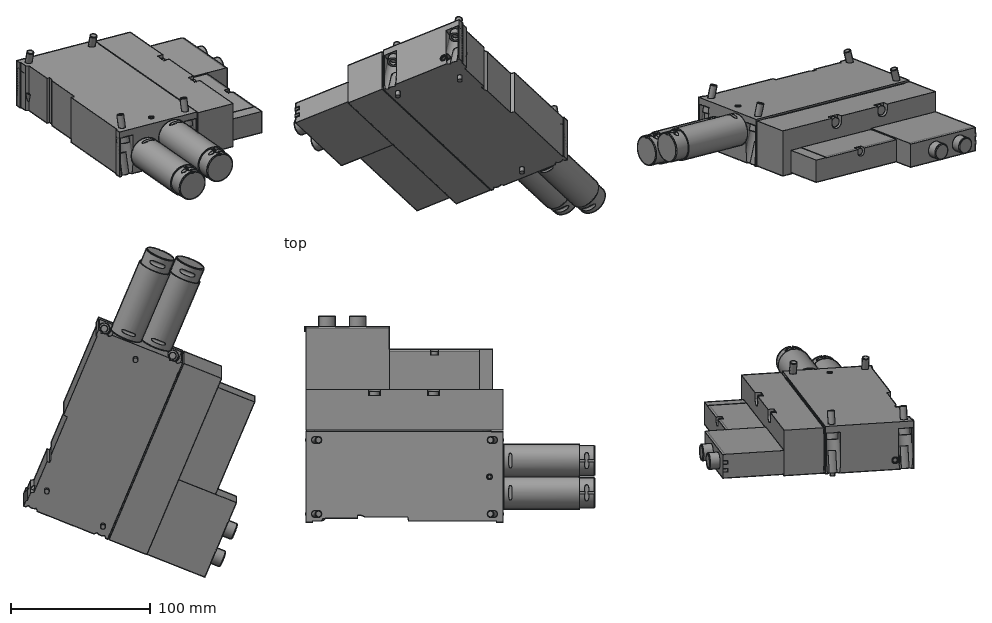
import cadquery as cq
import math

BASE_LENGTH = 141.2
BASE_DEPTH = 65.0
BASE_HEIGHT = 35.5
EDGE_STEP = 0.8
RIB_WIDTH = 4.8
FRONT_RECESS = 3.0
NOTCH_RECESS = 5.0
CENTRE_RECESS = 3.7

RAMP_START_X = 11.0
RAMP_END_X = 12.2
NOTCH_X = 37.0
NOTCH_END_X = 39.6
CENTRE_X = 42.5
CENTRE_END_X = 72.9
RIGHT_X = 73.5

SCREW_TILT = 15.0
SCREW_SPACING = 53.0
SCREW_ROW_Y = 6.0
SCREW_TOP_X = 6.6
SCREW_SHANK_DIAMETER = 5.0
SCREW_HEAD_DIAMETER = 8.0
SCREW_HEAD_HEIGHT = 4.8
SCREW_PROJECTION = 9.3
SCREW_SOCKET_DIAMETER = 5.0
SCREW_SOCKET_DEPTH = 2.5
SCREW_TIP_CHAMFER = 0.5
POCKET_DIAMETER = 10.4
POCKET_TOP_GAP = 6.6
RIDGE_DIAMETER = 10.4
RIDGE_OFFSET = 8.7
RIDGE_HEIGHT = 16.6

PEG_DIAMETER = 3.5
PEG_HEIGHT = 4.0
PEG_POINTS = [(8.3, 58.0), (17.2, 10.8), (131.5, 32.5)]
TOP_HOLE_DIAMETER = 2.5
TOP_HOLE_DEPTH = 2.5
TOP_RIM_DIAMETER = 4.2
HOLE_RIM_DEPTH = 0.5
SIDE_HOLE_Y = 13.7
SIDE_HOLE_Z = 6.9
SIDE_HOLE_DIAMETER = 3.3
SIDE_RIM_DIAMETER = 5.0
SIDE_HOLE_LIP = 1.0
SIDE_BORE_DIAMETER = 8.5
SIDE_BORE_DEPTH = 6.2

VALVE_GAP = 1.0
VALVE_DEPTH = 29.3
VALVE_BOTTOM = 0.6
VALVE_TOP = 34.7
PAD_START = 0.5
PAD_END = 132.6
PAD_BOTTOM = 1.2
PAD_TOP = 34.3
PAD_CORNER_RADIUS = 5.8
VALVE_CAP_XS = (49.0, 91.3)
VALVE_CAP_SLOT = 8.5
VALVE_CAP_DIAMETER = 7.0
VALVE_CAP_RECESS = 4.4

BOX_BOTTOM = 1.7
SOLENOID_LENGTH = 59.8
SOLENOID_DEPTH = 44.8
SOLENOID_TOP = 19.5
BUTTON_DIAMETER = 12.0
BUTTON_LENGTH = 7.7
BUTTON_CHAMFER = 0.6
BUTTON_XS = (15.2, 37.2)
TAB_PROJECTION = 0.8
TAB_DEPTH = 3.5
TAB_HEIGHT = 2.5
TAB_ZS = (7.7, 13.5)
PILOT_LENGTH = 74.0
PILOT_END_LENGTH = 9.3
PILOT_DEPTH = 28.6
PILOT_TOP = 18.7
PILOT_END_DROP = 0.2
PILOT_CAP_X = 92.2
PILOT_CAP_SLOT = 5.8
PILOT_CAP_DIAMETER = 5.0
PILOT_CAP_RECESS = 4.2
LEDGE_DEPTH = 1.5
LEDGE_DROP = 0.5
CAP_END_GAP = 1.7

CONNECTOR_DIAMETER = 23.7
CONNECTOR_LENGTH = 54.5
TIP_DIAMETER = 21.8
TIP_LENGTH = 11.0
END_CHAMFER = 0.6
CONNECTOR_AXES = [(21.2, 14.3), (44.2, 22.8)]
GROOVE_X = 5.2
GROOVE_DIAMETER = 2.5
TIP_GROOVE_X = 59.8
TIP_GROOVE_DIAMETER = 3.3
KEY_WIDTH = 1.7
KEY_DEPTH = 1.2

valve_front = BASE_DEPTH + VALVE_GAP
valve_rear = valve_front + VALVE_DEPTH
screw_rows = [SCREW_ROW_Y, SCREW_ROW_Y + SCREW_SPACING]
tilt = math.radians(SCREW_TILT)
below_base = 1.5 * BASE_HEIGHT


def box(x0, x1, y0, y1, z0, z1):
    return cq.Workplane("XY").box(x1 - x0, y1 - y0, z1 - z0, centered=False).translate((x0, y0, z0))


def cylinder_y(x, z, diameter, y0, y1):
    """Cylinder along Y between two Y positions."""
    return cq.Workplane("XZ", origin=(x, y0, z)).circle(diameter / 2).extrude(y0 - y1)


def screw_plane(y, distance):
    """Plane square to a left screw axis, at a distance along it from the base top; local +Y leans to -X."""
    direction = cq.Vector(math.sin(tilt), 0, math.cos(tilt))
    origin = cq.Vector(SCREW_TOP_X, y, BASE_HEIGHT) + direction * distance
    return cq.Workplane(cq.Plane(origin=origin, xDir=(0, 1, 0), normal=direction))


def along_screw(y, diameter, start, end):
    """Cylinder on a left screw axis; start and end are measured from the base top."""
    return screw_plane(y, start).circle(diameter / 2).extrude(end - start)


def mirrored(shape):
    """Copy of a left-hand shape at the right end of the base."""
    return shape.mirror("YZ", (BASE_LENGTH / 2, 0, 0))


def front_outline():
    """Stepped front edge of the base, from left to right."""
    right_rib_x = BASE_LENGTH - RIB_WIDTH
    return [
        (0, 0), (RIB_WIDTH, 0), (RIB_WIDTH, EDGE_STEP),
        (RAMP_START_X, EDGE_STEP), (RAMP_END_X, FRONT_RECESS),
        (NOTCH_X, FRONT_RECESS), (NOTCH_X, NOTCH_RECESS), (NOTCH_END_X, NOTCH_RECESS),
        (CENTRE_X, CENTRE_RECESS), (CENTRE_END_X, CENTRE_RECESS), (RIGHT_X, EDGE_STEP),
        (right_rib_x, EDGE_STEP), (right_rib_x, 0), (BASE_LENGTH, 0),
    ]


def screw_pocket(y):
    """Tilted round-backed pocket that opens through the -X and bottom faces, with the screw hole above it."""
    length = below_base - POCKET_TOP_GAP
    back = screw_plane(y, -below_base).circle(POCKET_DIAMETER / 2).extrude(length)
    opening = screw_plane(y, -below_base).center(0, BASE_HEIGHT / 2)
    opening = opening.rect(POCKET_DIAMETER, BASE_HEIGHT).extrude(length)
    hole = along_screw(y, SCREW_SHANK_DIAMETER, -POCKET_TOP_GAP, SCREW_PROJECTION)
    return back.union(opening).union(hole)


def pocket_ridge(y):
    """Tilted rounded ridge on the back wall of a pocket, cut off level with the base bottom."""
    top = -(BASE_HEIGHT - RIDGE_HEIGHT) / math.cos(tilt)
    ridge = screw_plane(y, -below_base).center(0, -RIDGE_OFFSET)
    ridge = ridge.circle(RIDGE_DIAMETER / 2).extrude(below_base + top)
    return ridge.intersect(box(0, BASE_LENGTH, 0, BASE_DEPTH, 0, BASE_HEIGHT))


def rimmed_hole(face, rim_diameter, diameter, depth):
    """Round hole into a face plane, with a shallow wider rim."""
    rim = face.circle(rim_diameter / 2).extrude(HOLE_RIM_DEPTH)
    return face.circle(diameter / 2).extrude(depth).union(rim)


def make_base():
    outline = front_outline() + [(BASE_LENGTH, BASE_DEPTH), (0, BASE_DEPTH)]
    base = cq.Workplane("XY").polyline(outline).close().extrude(BASE_HEIGHT)
    for y in screw_rows:
        pocket = screw_pocket(y)
        ridge = pocket_ridge(y)
        base = base.cut(pocket).cut(mirrored(pocket))
        base = base.union(ridge).union(mirrored(ridge))

    side_face = cq.Workplane("YZ", origin=(0, SIDE_HOLE_Y, SIDE_HOLE_Z))
    base = base.cut(rimmed_hole(side_face, SIDE_RIM_DIAMETER, SIDE_HOLE_DIAMETER, SIDE_HOLE_LIP))
    bore = side_face.workplane(offset=SIDE_HOLE_LIP).circle(SIDE_BORE_DIAMETER / 2)
    base = base.cut(bore.extrude(SIDE_BORE_DEPTH))

    hole_x, hole_y = PEG_POINTS[-1]
    top_face = cq.Workplane(cq.Plane((hole_x, hole_y, BASE_HEIGHT), (1, 0, 0), (0, 0, -1)))
    base = base.cut(rimmed_hole(top_face, TOP_RIM_DIAMETER, TOP_HOLE_DIAMETER, TOP_HOLE_DEPTH))

    pegs = cq.Workplane("XY").pushPoints(PEG_POINTS).circle(PEG_DIAMETER / 2).extrude(-PEG_HEIGHT)
    return base.union(pegs)


def make_screw(y):
    head_end = -POCKET_TOP_GAP - SCREW_HEAD_HEIGHT
    shank = along_screw(y, SCREW_SHANK_DIAMETER, -POCKET_TOP_GAP, SCREW_PROJECTION)
    shank = shank.faces(">Z").chamfer(SCREW_TIP_CHAMFER)
    head = along_screw(y, SCREW_HEAD_DIAMETER, head_end, -POCKET_TOP_GAP)
    socket = along_screw(y, SCREW_SOCKET_DIAMETER, head_end, head_end + SCREW_SOCKET_DEPTH)
    return shank.union(head).cut(socket)


def add_cap(block, x, top, rear, slot, diameter, recess):
    """Open-topped slot in a rear top edge with the head of a cap screw in it."""
    axis_z = top - slot / 2
    floor = rear - recess
    block = block.cut(cylinder_y(x, axis_z, slot, floor, rear))
    block = block.cut(box(x - slot / 2, x + slot / 2, floor, rear, axis_z, top))
    return block.union(cylinder_y(x, axis_z, diameter, floor, rear - CAP_END_GAP))


def slope_rear_edge(block, x0, x1, rear, top):
    """Shallow slope along the rear top edge."""
    wedge = (
        cq.Workplane("YZ", origin=(x0, 0, 0))
        .polyline([(rear - LEDGE_DEPTH, top), (rear, top), (rear, top - LEDGE_DROP)]).close()
        .extrude(x1 - x0)
    )
    return block.cut(wedge)


def make_valve():
    valve = box(0, BASE_LENGTH, valve_front, valve_rear, VALVE_BOTTOM, VALVE_TOP)
    for x in VALVE_CAP_XS:
        valve = add_cap(valve, x, VALVE_TOP, valve_rear, VALVE_CAP_SLOT, VALVE_CAP_DIAMETER, VALVE_CAP_RECESS)
    pad = box(PAD_START, PAD_END, BASE_DEPTH, valve_front, PAD_BOTTOM, PAD_TOP)
    pad = pad.edges("|Y").fillet(PAD_CORNER_RADIUS)
    return valve.union(pad)


def make_solenoid():
    rear = valve_rear + SOLENOID_DEPTH
    solenoid = box(0, SOLENOID_LENGTH, valve_rear, rear, BOX_BOTTOM, SOLENOID_TOP)
    solenoid = slope_rear_edge(solenoid, 0, SOLENOID_LENGTH, rear, SOLENOID_TOP)
    middle_z = (BOX_BOTTOM + SOLENOID_TOP) / 2
    for x in BUTTON_XS:
        button = cylinder_y(x, middle_z, BUTTON_DIAMETER, rear, rear + BUTTON_LENGTH)
        solenoid = solenoid.union(button.faces(">Y").chamfer(BUTTON_CHAMFER))
    for z in TAB_ZS:
        tab = box(-TAB_PROJECTION, 0, rear - TAB_DEPTH, rear, z - TAB_HEIGHT / 2, z + TAB_HEIGHT / 2)
        solenoid = solenoid.union(tab)
    return solenoid


def make_pilot():
    end_x = SOLENOID_LENGTH + PILOT_LENGTH
    end_piece_x = end_x - PILOT_END_LENGTH
    rear = valve_rear + PILOT_DEPTH
    pilot = box(SOLENOID_LENGTH, end_x, valve_rear, rear, BOX_BOTTOM, PILOT_TOP)
    pilot = pilot.cut(box(end_piece_x, end_x, valve_rear, rear, PILOT_TOP - PILOT_END_DROP, PILOT_TOP))
    pilot = slope_rear_edge(pilot, SOLENOID_LENGTH, end_piece_x, rear, PILOT_TOP)
    return add_cap(pilot, PILOT_CAP_X, PILOT_TOP, rear, PILOT_CAP_SLOT, PILOT_CAP_DIAMETER, PILOT_CAP_RECESS)


def make_connector(y, z):
    radius = CONNECTOR_DIAMETER / 2
    tip_radius = TIP_DIAMETER / 2
    total = CONNECTOR_LENGTH + TIP_LENGTH
    barrel = cq.Workplane("YZ").circle(radius).extrude(CONNECTOR_LENGTH).faces("<X").chamfer(END_CHAMFER)
    tip = cq.Workplane("YZ", origin=(CONNECTOR_LENGTH, 0, 0)).circle(tip_radius).extrude(TIP_LENGTH)
    connector = barrel.union(tip.faces(">X").chamfer(END_CHAMFER))
    grooves = cylinder_y(GROOVE_X, radius, GROOVE_DIAMETER, -radius, radius)
    grooves = grooves.union(cylinder_y(TIP_GROOVE_X, tip_radius, TIP_GROOVE_DIAMETER, -radius, radius))
    grooves = grooves.union(grooves.mirror("XY"))
    key = box(CONNECTOR_LENGTH, total, -KEY_WIDTH / 2, KEY_WIDTH / 2, tip_radius - KEY_DEPTH, tip_radius)
    return connector.cut(grooves).cut(key).translate((BASE_LENGTH, y, z))


base = make_base()
valve = make_valve()
solenoid = make_solenoid()
pilot = make_pilot()
connectors = [make_connector(y, z) for y, z in CONNECTOR_AXES]
screws = []
for y in screw_rows:
    screw = make_screw(y)
    screws += [screw, mirrored(screw)]

bodies = [base, valve, solenoid, pilot] + connectors + screws
result = cq.Compound.makeCompound([body.solids().val() for body in bodies])